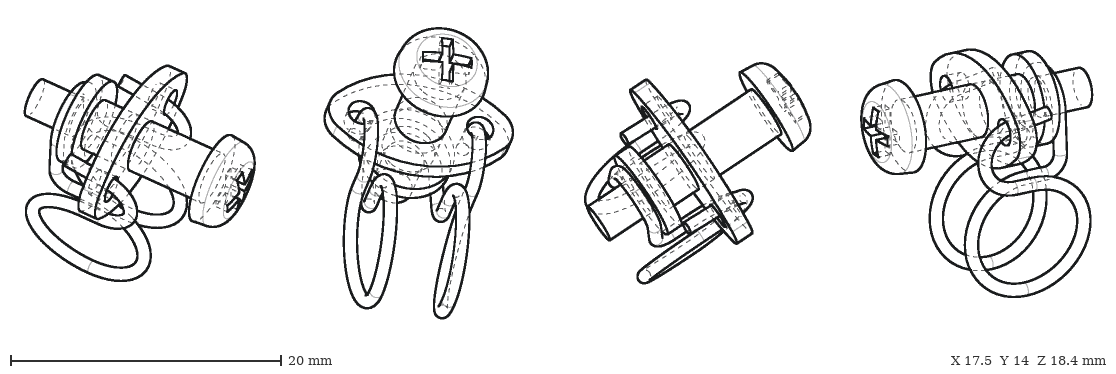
import cadquery as cq
import math


nose_dia = 3.0
collar_dia = 7.0
collar_start = 3.8
collar_thickness = 1.25
shank_dia = 4.0
head_start = 15.0

head_base_radius = 3.5
head_side_length = 1.11
head_taper = 0.11
shoulder_length = 2.25
shoulder_radius = 2.3
head_height = 2.567

recess_width = 0.82
recess_length = 3.7
recess_depth = 1.2

plate_start = 7.6
plate_thickness = 1.4
plate_width = 14.0
plate_height = 8.0
plate_end_radius = 2.0
eyelet_dia = 2.0
eyelet_offset = 4.5

wire_dia = 1.0
leg_splay = math.radians(3.8)
foot_radius = 1.3
inner_offset = 2.75
outer_offset = 4.1
ring_radius = 4.5
ring_center_x = 6.3
ring_center_z = -9.4
hook_radius = 2.5
hook_center_x = 7.9
hook_tip_x = 5.1
hook_tilt = math.radians(9.4)


def make_pin():
    """Turned pin with the cross recess cut into its domed head."""
    nose_radius = nose_dia / 2
    shank_radius = shank_dia / 2
    collar_radius = collar_dia / 2
    collar_end = collar_start + collar_thickness
    side_end = (head_start + head_side_length, head_base_radius - head_taper)
    shoulder_end = (head_start + shoulder_length, shoulder_radius)
    apex_x = head_start + head_height

    dome_rise = head_height - shoulder_length
    dome_radius = (shoulder_radius**2 + dome_rise**2) / (2 * dome_rise)

    body = (
        cq.Workplane("XY")
        .moveTo(0, 0)
        .lineTo(0, nose_radius)
        .lineTo(collar_start, nose_radius)
        .lineTo(collar_start, collar_radius)
        .lineTo(collar_end, collar_radius)
        .lineTo(collar_end, shank_radius)
        .lineTo(head_start, shank_radius)
        .lineTo(head_start, head_base_radius)
        .lineTo(*side_end)
        .tangentArcPoint(shoulder_end, relative=False)
        .radiusArc((apex_x, 0), dome_radius)
        .close()
        .revolve(360, (0, 0, 0), (1, 0, 0))
    )
    recess = (
        cq.Workplane("YZ", origin=(apex_x - recess_depth, 0, 0))
        .rect(recess_length, recess_width)
        .extrude(recess_depth)
        .union(
            cq.Workplane("YZ", origin=(apex_x - recess_depth, 0, 0))
            .rect(recess_width, recess_length)
            .extrude(recess_depth)
        )
    )
    return body.cut(recess)


def make_plate():
    """Oval plate of four tangent arcs, bored for the shank and the two clip ends."""
    half_width = plate_width / 2
    half_height = plate_height / 2
    end_center = half_width - plate_end_radius

    long_radius = (end_center**2 + half_height**2 - plate_end_radius**2) / (
        2 * (half_height - plate_end_radius)
    )
    long_center = half_height - long_radius
    reach = long_radius / (long_radius - plate_end_radius)
    tangent_y = end_center * reach
    tangent_z = long_center - long_center * reach

    return (
        cq.Workplane("YZ", origin=(plate_start, 0, 0))
        .moveTo(-tangent_y, tangent_z)
        .threePointArc((0, half_height), (tangent_y, tangent_z))
        .threePointArc((half_width, 0), (tangent_y, -tangent_z))
        .threePointArc((0, -half_height), (-tangent_y, -tangent_z))
        .threePointArc((-half_width, 0), (-tangent_y, tangent_z))
        .close()
        .extrude(plate_thickness)
        .cut(
            cq.Workplane("YZ", origin=(plate_start, 0, 0))
            .circle(shank_dia / 2)
            .extrude(plate_thickness)
        )
        .cut(
            cq.Workplane("YZ", origin=(plate_start, 0, 0))
            .pushPoints([(-eyelet_offset, 0), (eyelet_offset, 0)])
            .circle(eyelet_dia / 2)
            .extrude(plate_thickness)
        )
    )


def make_clip():
    """Wire clip: an arch over the nose, then on each side a leg, a ring and a hook."""
    splay_sin = math.sin(leg_splay)
    splay_cos = math.cos(leg_splay)
    arch_x = collar_start - wire_dia / 2
    arch_top = (nose_dia + wire_dia) / 2
    ring_top = ring_center_z + ring_radius
    ring_bottom = ring_center_z - ring_radius

    arch_radius = (inner_offset * splay_cos - (arch_top - ring_top) * splay_sin) / (1 - splay_sin)
    arch_center_z = arch_top - arch_radius
    half_sweep = (math.pi / 2 - leg_splay) / 2
    crown = cq.Vector(arch_x, 0, arch_top)
    arch_middle = cq.Vector(
        arch_x,
        arch_radius * math.sin(half_sweep),
        arch_center_z + arch_radius * math.cos(half_sweep),
    )
    arch_end = cq.Vector(arch_x, arch_radius * splay_cos, arch_center_z + arch_radius * splay_sin)

    foot_end = cq.Vector(arch_x + foot_radius, inner_offset, ring_top)
    up_leg = cq.Vector(0, -splay_sin, splay_cos)
    leg_end = cq.Vector(arch_x, inner_offset, ring_top) + up_leg * foot_radius

    ring_start = cq.Vector(ring_center_x, inner_offset, ring_top)
    ring_side = cq.Vector(ring_center_x + ring_radius, inner_offset, ring_center_z)
    ring_low = cq.Vector(ring_center_x, inner_offset, ring_bottom)
    ring_end = cq.Vector(ring_center_x, outer_offset, ring_top)
    climb_radius = (ring_end - ring_low).Length / 2
    climb_side = (ring_low + ring_end) * 0.5 - cq.Vector(climb_radius, 0, 0)

    hook_center = cq.Vector(hook_center_x, outer_offset, ring_top + hook_radius)
    hook_start = hook_center - cq.Vector(0, 0, hook_radius)
    hook_side = hook_center + cq.Vector(hook_radius, 0, 0)
    hook_end = hook_center + cq.Vector(math.sin(hook_tilt), 0, math.cos(hook_tilt)) * hook_radius
    tip_run = hook_end.x - hook_tip_x
    hook_tip = hook_end + cq.Vector(-tip_run, 0, tip_run * math.tan(hook_tilt))

    path = cq.Wire.assembleEdges(
        [
            cq.Edge.makeThreePointArc(crown, arch_middle, arch_end),
            cq.Edge.makeLine(arch_end, leg_end),
            cq.Edge.makeTangentArc(leg_end, up_leg * -1, foot_end),
            cq.Edge.makeLine(foot_end, ring_start),
            cq.Edge.makeThreePointArc(ring_start, ring_side, ring_low),
            cq.Edge.makeThreePointArc(ring_low, climb_side, ring_end),
            cq.Edge.makeLine(ring_end, hook_start),
            cq.Edge.makeThreePointArc(hook_start, hook_side, hook_end),
            cq.Edge.makeLine(hook_end, hook_tip),
        ]
    )
    wire_section = cq.Workplane("XZ", origin=crown.toTuple()).circle(wire_dia / 2)
    half = wire_section.sweep(cq.Workplane(path))
    return half.union(half.mirror("XZ")).clean()


pin = make_pin()
plate = make_plate()
clip = make_clip()

result = cq.Compound.makeCompound([body.solids().val() for body in (pin, plate, clip)])